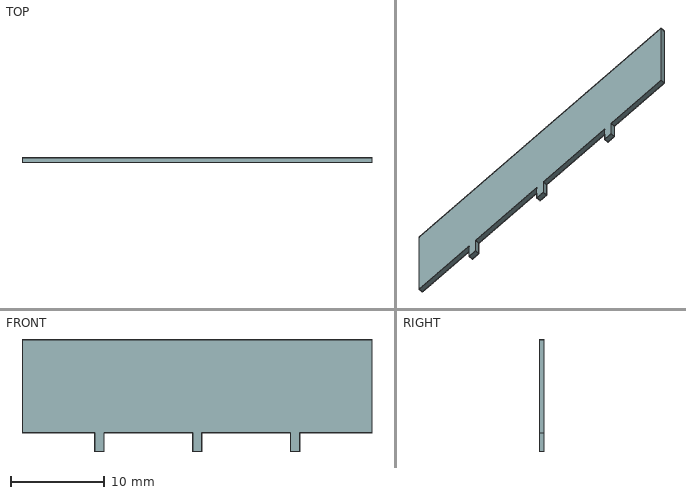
import cadquery as cq

length = 37.5
thickness = 0.52
total_height = 12.0
pin_length = 2.0
pin_width = 1.0
pin_pitch = 10.5
pin_count = 3

plate_height = total_height - pin_length

plate = cq.Workplane("XY").box(length, thickness, plate_height, centered=(True, True, False))

pin_places = [((i - (pin_count - 1) / 2) * pin_pitch, 0) for i in range(pin_count)]
pins = (
    cq.Workplane("XY")
    .pushPoints(pin_places)
    .rect(pin_width, thickness)
    .extrude(-pin_length)
)

result = plate.union(pins)